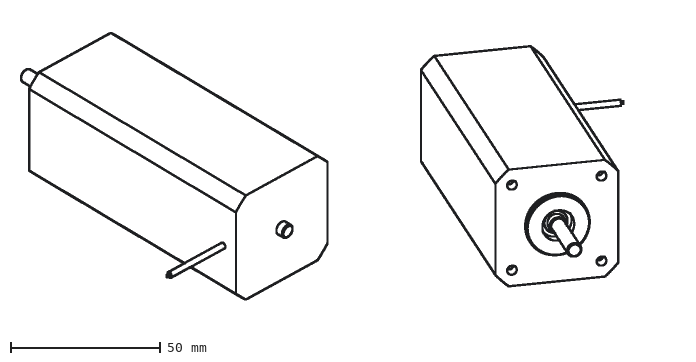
import cadquery as cq
import math

OVERALL_LENGTH = 127.0
BODY_LENGTH = 100.1
BODY_WIDTH = 42.5
CORNER_FLAT = 33.3
CORNER_BULGE = 0.1

PILOT_DIAMETER = 22.0
PILOT_HEIGHT = 2.0
PILOT_CHAMFER = 0.4
RECESS_DIAMETER = 11.0
RECESS_DEPTH = 3.5
HUB_DIAMETER = 8.0
HUB_HEIGHT = 0.5
COLLAR_DIAMETER = 6.0

SHAFT_DIAMETER = 5.0
SHAFT_FRONT = 23.9
SHAFT_REAR = OVERALL_LENGTH - SHAFT_FRONT - BODY_LENGTH
SHAFT_CHAMFER = 0.4

HOLE_SPACING = 31.0
HOLE_DIAMETER = 3.3
HOLE_DEPTH = 4.5
DRILL_TIP_ANGLE = 118.0

CABLE_DIAMETER = 2.2
CABLE_LENGTH = 24.9
CORE_DIAMETER = 1.0
CORE_LENGTH = 1.0
CABLE_FROM_REAR = 6.1


def cylinder_x(start, length, diameter):
    """Cylinder along +X, centred on the shaft axis."""
    return cq.Workplane("YZ", origin=(start, 0, 0)).circle(diameter / 2).extrude(length)


def make_body():
    """Square prism with shallow arcs across its four corners."""
    side = BODY_WIDTH / 2
    flat = CORNER_FLAT / 2
    middle = (side + flat) / 2 + CORNER_BULGE / 2 ** 0.5
    return (
        cq.Workplane("YZ")
        .moveTo(-flat, -side)
        .lineTo(flat, -side)
        .threePointArc((middle, -middle), (side, -flat))
        .lineTo(side, flat)
        .threePointArc((middle, middle), (flat, side))
        .lineTo(-flat, side)
        .threePointArc((-middle, middle), (-side, flat))
        .lineTo(-side, -flat)
        .threePointArc((-middle, -middle), (-flat, -side))
        .close()
        .extrude(BODY_LENGTH)
    )


def make_pilot_recess():
    """Annular pocket around the bearing hub and shaft collar in the pilot face."""
    floor = RECESS_DEPTH - PILOT_HEIGHT
    pocket = cylinder_x(floor, -RECESS_DEPTH, RECESS_DIAMETER)
    hub = cylinder_x(floor, -HUB_HEIGHT, HUB_DIAMETER)
    collar = cylinder_x(floor, -RECESS_DEPTH, COLLAR_DIAMETER)
    return pocket.cut(hub).cut(collar)


def make_mounting_holes():
    """Four blind holes in the front face, each with a conical drill bottom."""
    radius = HOLE_DIAMETER / 2
    tip_depth = HOLE_DEPTH + radius / math.tan(math.radians(DRILL_TIP_ANGLE / 2))
    drill = (
        cq.Workplane("XY")
        .polyline([(0, 0), (0, radius), (HOLE_DEPTH, radius), (tip_depth, 0)])
        .close()
        .revolve(360, (0, 0, 0), (1, 0, 0))
    )
    offset = HOLE_SPACING / 2
    holes = cq.Workplane("YZ")
    for y in (-offset, offset):
        for z in (-offset, offset):
            holes = holes.add(drill.translate((0, y, z)))
    return holes.combine()


def make_shaft():
    """Through shaft with both ends chamfered."""
    length = SHAFT_FRONT + BODY_LENGTH + SHAFT_REAR
    return cylinder_x(-SHAFT_FRONT, length, SHAFT_DIAMETER).faces("<X or >X").chamfer(SHAFT_CHAMFER)


def make_cable():
    """Cable leaving the -Y side near the rear, with its bare core at the tip."""
    exit_face = cq.Workplane("XZ", origin=(BODY_LENGTH - CABLE_FROM_REAR, -BODY_WIDTH / 2, 0))
    sheath = exit_face.circle(CABLE_DIAMETER / 2).extrude(CABLE_LENGTH)
    core = exit_face.circle(CORE_DIAMETER / 2).extrude(CABLE_LENGTH + CORE_LENGTH)
    return sheath.union(core)


pilot = cylinder_x(0, -PILOT_HEIGHT, PILOT_DIAMETER).faces("<X").chamfer(PILOT_CHAMFER)
housing = make_body().union(pilot).cut(make_pilot_recess()).cut(make_mounting_holes())
result = housing.union(make_shaft()).union(make_cable())